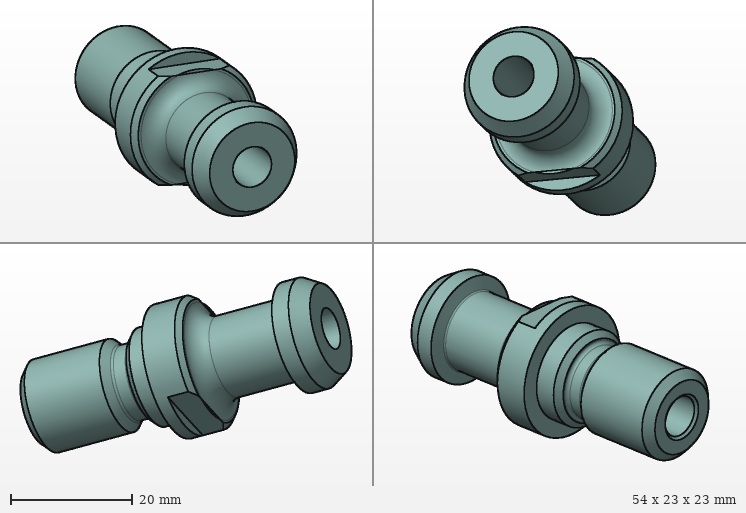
import cadquery as cq
import math

total_length = 54.0

bore_diameter = 7.0
bore_mouth_diameter = 8.0
bore_mouth_depth = (bore_mouth_diameter - bore_diameter) / 2

stud_radius = 16.0 / 2
groove_radius = 12.95 / 2
stud_chamfer = stud_radius - groove_radius
groove_start = 16.85
groove_end = 19.9
groove_fillet = 0.65

pilot_radius = 17.0 / 2
pilot_chamfer = 1.15

flange_radius = 23.0 / 2
flange_start = 24.9
flange_end = 31.9
flange_chamfer = 0.95
flat_start = 27.2
flat_spacing = 19.0

neck_radius = 14.0 / 2
neck_flange_fillet = 3.1
neck_head_fillet = 0.25

head_radius = 19.0 / 2
head_start = 47.85
head_taper_length = 3.1
head_taper_angle = math.radians(30)
underside_angle = math.radians(15)
head_tip_radius = head_radius - head_taper_length * math.tan(head_taper_angle)
underside_start = head_start - (head_radius - neck_radius) * math.tan(underside_angle)


def ring_edge_at(x, radius):
    """Select the circular edge about X at the given position and radius."""
    reach = 0.05
    return cq.selectors.BoxSelector(
        (x - reach, -radius - reach, -radius - reach),
        (x + reach, radius + reach, radius + reach),
        boundingbox=True,
    )


def turned_body():
    """Revolve the half outline, then round its inside corners."""
    outline = [
        (0, 0),
        (0, stud_radius - stud_chamfer),
        (stud_chamfer, stud_radius),
        (groove_start - stud_chamfer, stud_radius),
        (groove_start, groove_radius),
        (groove_end, groove_radius),
        (groove_end, pilot_radius - pilot_chamfer),
        (groove_end + pilot_chamfer, pilot_radius),
        (flange_start, pilot_radius),
        (flange_start, flange_radius),
        (flange_end - flange_chamfer, flange_radius),
        (flange_end, flange_radius - flange_chamfer),
        (flange_end, neck_radius),
        (underside_start, neck_radius),
        (head_start, head_radius),
        (total_length - head_taper_length, head_radius),
        (total_length, head_tip_radius),
        (total_length, 0),
    ]
    body = cq.Workplane("XY").polyline(outline).close().revolve(360, (0, 0, 0), (1, 0, 0))
    inside_corners = [
        (groove_start, groove_radius, groove_fillet),
        (groove_end, groove_radius, groove_fillet),
        (flange_end, neck_radius, neck_flange_fillet),
        (underside_start, neck_radius, neck_head_fillet),
    ]
    for x, radius, fillet in inside_corners:
        body = body.edges(ring_edge_at(x, radius)).fillet(fillet)
    return body


def wrench_flat_cutter(side):
    """Block above (side = 1) or below (side = -1) one wrench flat."""
    length = flange_end - flat_start
    height = flange_radius
    return cq.Workplane("XY").box(length, 2 * flange_radius, height).translate(
        ((flat_start + flange_end) / 2, 0, side * (flat_spacing + height) / 2)
    )


def bore():
    """Straight through hole with a conical mouth at the stud tip."""
    outline = [
        (0, 0),
        (0, bore_mouth_diameter / 2),
        (bore_mouth_depth, bore_diameter / 2),
        (total_length, bore_diameter / 2),
        (total_length, 0),
    ]
    return cq.Workplane("XY").polyline(outline).close().revolve(360, (0, 0, 0), (1, 0, 0))


result = turned_body().cut(bore())
for side in (1, -1):
    result = result.cut(wrench_flat_cutter(side))